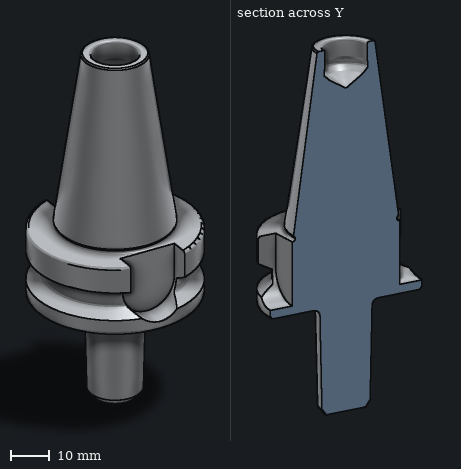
import cadquery as cq
import math

total_height = 99.4
flange_bottom = 29.0
flange_top = 49.0
taper_bottom = 51.1

nose_tip_radius = 6.0
nose_lower_radius = 7.4
nose_upper_radius = 8.0
nose_chamfer_height = 1.8
nose_fillet = 1.8

flange_diameter = 46.0
flange_radius = flange_diameter / 2
flange_bottom_fillet = 1.2
flange_top_fillet = 0.8
groove_radius = 19.1
groove_lower_edge = 33.5
groove_upper_edge = 41.5
groove_flank_angle = 30.0
groove_fillet = 0.8

taper_top_radius = 8.8
taper_ratio = 7 / 24
taper_top_chamfer = 0.4
neck_radius = 15.4
neck_lip_height = 0.6
neck_fillet = 0.8

slot_width = 16.1
slot_inner_x = 16.3
slot_bottom = 31.6

bore_diameter = 12.6
bore_radius = bore_diameter / 2
bore_mouth_fillet = 0.7
bore_depth = 5.0
relief_radius = 6.6
relief_wall_top = 5.8
relief_wall_bottom = 6.6
relief_end_radius = bore_radius
relief_end_depth = 7.2
floor_radius = 5.0
floor_depth = 8.4
drill_half_angle = 59.0

arc_mid = math.sqrt(0.5)


def make_body():
    """Revolve the outer profile about Z, drawn as (radius, height)."""
    half_angle = math.radians(groove_flank_angle)
    flank_height = (flange_radius - groove_radius) * math.tan(half_angle)
    taper_base_radius = taper_top_radius + (total_height - taper_bottom) * taper_ratio / 2
    corner_setback = groove_fillet * math.tan((math.pi / 2 - half_angle) / 2)
    setback_out = corner_setback * math.cos(half_angle)
    setback_up = corner_setback * math.sin(half_angle)
    lower_corner = groove_lower_edge + flank_height
    upper_corner = groove_upper_edge - flank_height
    nose_root = flange_bottom - nose_fillet
    root_mid = nose_fillet * (1 - arc_mid)
    bottom_mid = flange_bottom_fillet * (1 - arc_mid)
    top_mid = flange_top_fillet * (1 - arc_mid)
    neck_mid = neck_fillet * (1 - arc_mid)
    profile = (
        cq.Workplane("XZ")
        .lineTo(nose_tip_radius, 0)
        .lineTo(nose_lower_radius, nose_chamfer_height)
        .lineTo(nose_upper_radius, nose_root)
        .threePointArc(
            (nose_upper_radius + root_mid, flange_bottom - root_mid),
            (nose_upper_radius + nose_fillet, flange_bottom),
        )
        .lineTo(flange_radius - flange_bottom_fillet, flange_bottom)
        .threePointArc(
            (flange_radius - bottom_mid, flange_bottom + bottom_mid),
            (flange_radius, flange_bottom + flange_bottom_fillet),
        )
        .lineTo(flange_radius, groove_lower_edge)
        .lineTo(groove_radius + setback_out, lower_corner - setback_up)
        .tangentArcPoint((groove_radius, lower_corner + corner_setback), relative=False)
        .lineTo(groove_radius, upper_corner - corner_setback)
        .tangentArcPoint((groove_radius + setback_out, upper_corner + setback_up), relative=False)
        .lineTo(flange_radius, groove_upper_edge)
        .lineTo(flange_radius, flange_top - flange_top_fillet)
        .threePointArc(
            (flange_radius - top_mid, flange_top - top_mid),
            (flange_radius - flange_top_fillet, flange_top),
        )
        .lineTo(neck_radius + neck_fillet, flange_top)
        .threePointArc(
            (neck_radius + neck_mid, flange_top + neck_mid),
            (neck_radius, flange_top + neck_fillet),
        )
        .lineTo(taper_base_radius, taper_bottom - neck_lip_height)
        .lineTo(taper_base_radius, taper_bottom)
        .lineTo(taper_top_radius, total_height - taper_top_chamfer)
        .lineTo(taper_top_radius - taper_top_chamfer, total_height)
        .lineTo(0, total_height)
        .close()
    )
    return profile.revolve(360, (0, 0, 0), (0, 1, 0))


def make_bore():
    """Blind bore with a rounded mouth, a relief groove and a two-step conical floor."""
    mouth_mid = bore_mouth_fillet * (1 - arc_mid)
    floor_edge = total_height - floor_depth
    drill_point = floor_radius / math.tan(math.radians(drill_half_angle))
    profile = (
        cq.Workplane("XZ")
        .moveTo(0, total_height)
        .lineTo(bore_radius + bore_mouth_fillet, total_height)
        .threePointArc(
            (bore_radius + mouth_mid, total_height - mouth_mid),
            (bore_radius, total_height - bore_mouth_fillet),
        )
        .lineTo(bore_radius, total_height - bore_depth)
        .lineTo(relief_radius, total_height - relief_wall_top)
        .lineTo(relief_radius, total_height - relief_wall_bottom)
        .tangentArcPoint((relief_end_radius, total_height - relief_end_depth), relative=False)
        .lineTo(floor_radius, floor_edge)
        .lineTo(0, floor_edge - drill_point)
        .close()
    )
    return profile.revolve(360, (0, 0, 0), (0, 1, 0))


def make_drive_slot(side):
    """Round-bottomed slot open to the top and rim; side is +1 or -1 along X."""
    slot_radius = slot_width / 2
    arc_center = slot_bottom + slot_radius
    outline = (
        cq.Workplane("YZ")
        .workplane(offset=side * slot_inner_x)
        .moveTo(-slot_radius, flange_top)
        .lineTo(-slot_radius, arc_center)
        .threePointArc((0, slot_bottom), (slot_radius, arc_center))
        .lineTo(slot_radius, flange_top)
        .close()
    )
    return outline.extrude(side * flange_radius)


result = make_body().cut(make_bore())
for side in (-1, 1):
    result = result.cut(make_drive_slot(side))